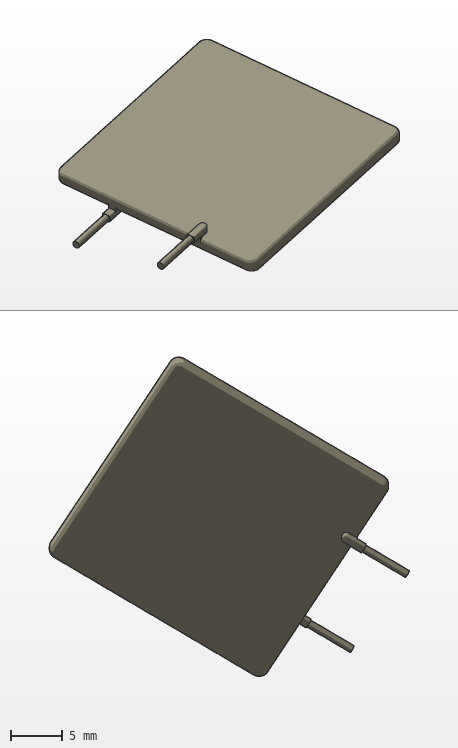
import cadquery as cq

total_length = 31.0
total_height = 3.2

plate_width = 24.0
plate_length = 25.0
plate_thickness = 1.6
plate_corner_radius = 1.0
plate_edge_fillet = 0.53

lead_offset = 5.08
block_width = 0.9
block_overlap = 1.45
block_overhang = 1.0
block_edge_fillet = 0.2
pin_diameter = 0.78

plate_front = -plate_length / 2
plate_top = plate_thickness / 2
block_height = (total_height - plate_thickness) / 2
block_front = plate_front - block_overhang
block_back = plate_front + block_overlap
pin_tip = plate_length / 2 - total_length


def make_plate():
    """Rectangular plate with rounded corners and rounded top and bottom rims."""
    return (
        cq.Workplane("XY")
        .box(plate_width, plate_length, plate_thickness)
        .edges("|Z")
        .fillet(plate_corner_radius)
        .faces("<Z or >Z")
        .edges()
        .fillet(plate_edge_fillet)
    )


def bar(back, front, bottom, height):
    """Upright bar centred on X = 0 with a half-round back end."""
    radius = block_width / 2
    return (
        cq.Workplane("XY", origin=(0, 0, bottom))
        .moveTo(-radius, front)
        .lineTo(radius, front)
        .lineTo(radius, back - radius)
        .threePointArc((0, back), (-radius, back - radius))
        .close()
        .extrude(height)
    )


def make_terminal():
    """Top terminal: rounded block, web down into the plate, and round lead pin."""
    block = bar(block_back, block_front, plate_top, block_height)
    block = block.edges("(>Z or <Z) and (not <Y)").fillet(block_edge_fillet)
    web = bar(block_back, plate_front, 0, plate_top + block_height / 2)
    pin = (
        cq.Workplane("XZ", origin=(0, block_front, plate_top + block_height / 2))
        .circle(pin_diameter / 2)
        .extrude(block_front - pin_tip)
    )
    return block.union(web).union(pin)


top_terminal = make_terminal().translate((lead_offset, 0, 0))
bottom_terminal = top_terminal.rotate((0, 0, 0), (0, 1, 0), 180)

result = make_plate().union(top_terminal).union(bottom_terminal)